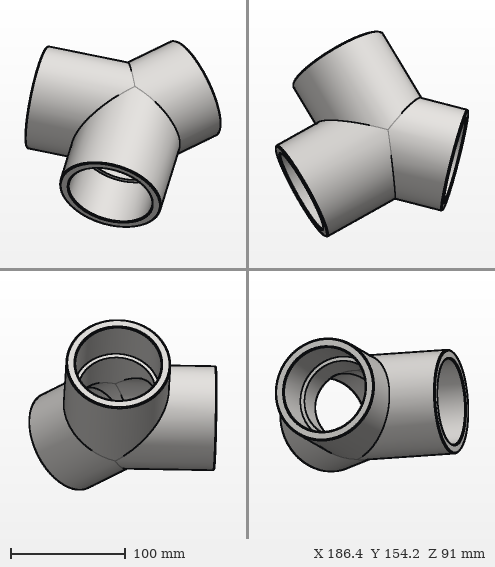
import cadquery as cq

OUTER_DIAMETER = 91.0
SOCKET_DIAMETER = 75.0
BORE_DIAMETER = 67.5
SOCKET_DEPTH = 44.0
STRAIGHT_LENGTH = 61.0
BRANCH_LENGTH = 87.3
OUTER_CHAMFER = 1.0
SOCKET_CHAMFER = 1.0

BRANCH_TURN = 135.0
LEGS = [
    (0.0, STRAIGHT_LENGTH),
    (BRANCH_TURN, BRANCH_LENGTH),
    (-BRANCH_TURN, BRANCH_LENGTH),
]


def revolve_leg(profile, turn):
    """Spin a (radius, axial) profile about +Y, then turn it about Z."""
    leg = cq.Workplane("XY").polyline(profile).close().revolve(360, (0, 0, 0), (0, 1, 0))
    return leg.rotate((0, 0, 0), (0, 0, 1), turn)


def leg_body(turn, length):
    """Solid round leg with a chamfered outer rim at its mouth."""
    radius = OUTER_DIAMETER / 2
    profile = [
        (0, 0),
        (radius, 0),
        (radius, length - OUTER_CHAMFER),
        (radius - OUTER_CHAMFER, length),
        (0, length),
    ]
    return revolve_leg(profile, turn)


def leg_cavity(turn, length):
    """Bore from the junction, widening at a shoulder to a socket with a lead-in chamfer."""
    bore_radius = BORE_DIAMETER / 2
    socket_radius = SOCKET_DIAMETER / 2
    shoulder = length - SOCKET_DEPTH
    profile = [
        (0, 0),
        (bore_radius, 0),
        (bore_radius, shoulder),
        (socket_radius, shoulder),
        (socket_radius, length - SOCKET_CHAMFER),
        (socket_radius + SOCKET_CHAMFER, length),
        (0, length),
    ]
    return revolve_leg(profile, turn)


def join_legs(make_leg):
    """Union of one shape per leg; the legs meet at the origin."""
    joined = cq.Workplane("XY")
    for turn, length in LEGS:
        joined = joined.union(make_leg(turn, length))
    return joined


result = join_legs(leg_body).cut(join_legs(leg_cavity))